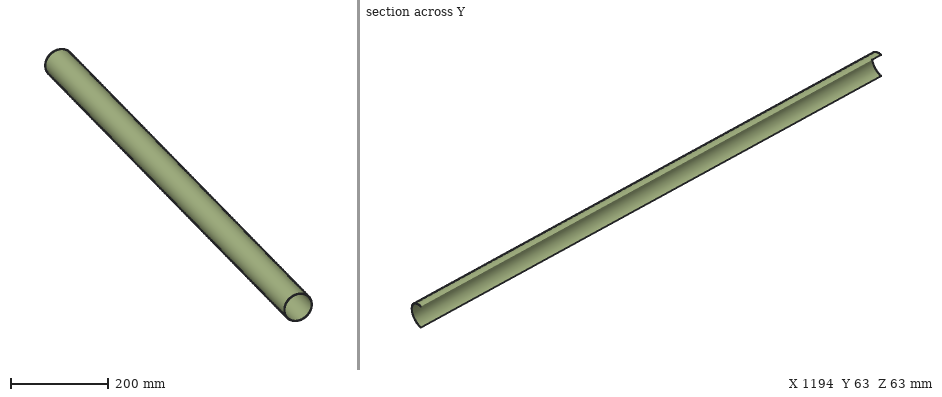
import cadquery as cq

length = 1194.0
outer_diameter = 63.0
wall = 1.5

outer_radius = outer_diameter / 2
inner_radius = outer_radius - wall

result = (
    cq.Workplane("YZ", origin=(-length / 2, 0, 0))
    .circle(outer_radius)
    .circle(inner_radius)
    .extrude(length)
)